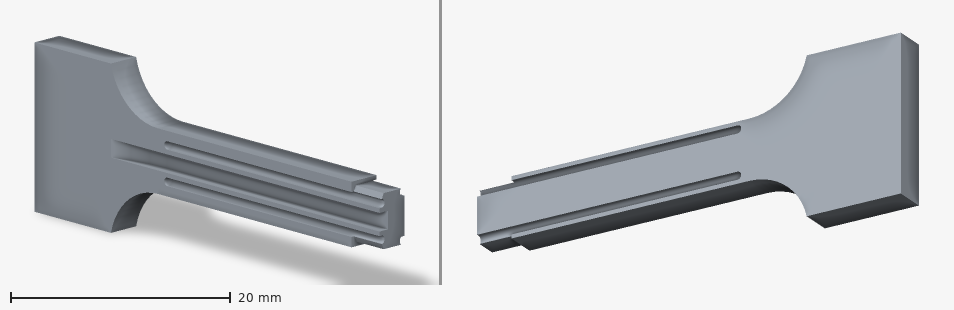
import cadquery as cq
import math

length = 45.0
thickness = 3.2
head_height = 16.0

head_length = 10.0
shank_height = 6.2
neck_length = 6.1

tip_length = 3.65
tip_height = 5.3
tip_front_bevel_depth = 0.53
tip_front_setback = 0.28

slot_height = 1.76
slot_depth = 1.08
slot_start = head_length

groove_width = 0.8
groove_depth = 0.62
groove_floor_radius = 0.34
groove_start = 16.95
groove_offset = 1.72
back_groove_offset = 2.3

front = -thickness / 2
back = thickness / 2
neck_end = head_length + neck_length
tip_start = length - tip_length


def tangent_radius(run, rise):
    """Radius of an arc that covers run and rise and ends parallel to the run."""
    return (run**2 + rise**2) / (2 * rise)


def arc_middle(run, rise):
    """Middle of that arc, measured back from its tangent end as (run, rise)."""
    radius = tangent_radius(run, rise)
    half_angle = math.asin(run / radius) / 2
    return radius * math.sin(half_angle), radius * (1 - math.cos(half_angle))


def make_body():
    """Head, curved neck and shank, up to the start of the tip."""
    head_top = head_height / 2
    shank_top = shank_height / 2
    run, rise = arc_middle(neck_length, head_top - shank_top)
    neck_middle_x = neck_end - run
    neck_middle_z = shank_top + rise
    return (
        cq.Workplane("XZ", origin=(0, back, 0))
        .moveTo(0, -head_top)
        .lineTo(head_length, -head_top)
        .threePointArc((neck_middle_x, -neck_middle_z), (neck_end, -shank_top))
        .lineTo(tip_start, -shank_top)
        .lineTo(tip_start, shank_top)
        .lineTo(neck_end, shank_top)
        .threePointArc((neck_middle_x, neck_middle_z), (head_length, head_top))
        .lineTo(0, head_top)
        .close()
        .extrude(thickness)
    )


def make_tip():
    """Reduced end of the shank, bevelled at the front."""
    tip_top = tip_height / 2
    groove_edge = groove_offset + groove_width / 2
    upper_side = [
        (front, groove_offset),
        (front + tip_front_setback, groove_edge),
        (front + tip_front_bevel_depth, tip_top),
        (back, tip_top),
    ]
    lower_side = [(y, -z) for y, z in reversed(upper_side)]
    return (
        cq.Workplane("YZ", origin=(tip_start, 0, 0))
        .polyline(upper_side + lower_side)
        .close()
        .extrude(tip_length)
    )


def make_slot():
    """Cutter for the central slot, its floor rising along an arc to the front face."""
    slot_run = neck_end - slot_start
    run, rise = arc_middle(slot_run, slot_depth)
    floor = front + slot_depth
    return (
        cq.Workplane("XY", origin=(0, 0, -slot_height / 2))
        .moveTo(slot_start, front)
        .threePointArc((neck_end - run, floor - rise), (neck_end, floor))
        .lineTo(length, floor)
        .lineTo(length, front)
        .close()
        .extrude(slot_height)
    )


def make_groove(center_z):
    """Cutter for one front groove, with a round closed end and a rounded floor."""
    radius = groove_width / 2
    closed_end = groove_start + radius
    return (
        cq.Workplane("XZ", origin=(0, front + groove_depth, center_z))
        .moveTo(length, -radius)
        .lineTo(closed_end, -radius)
        .threePointArc((groove_start, 0), (closed_end, radius))
        .lineTo(length, radius)
        .close()
        .extrude(groove_depth)
        .edges(">Y")
        .edges("not >X")
        .fillet(groove_floor_radius)
    )


body = make_body().union(make_tip()).cut(make_slot())
for side in (1, -1):
    front_groove = make_groove(side * groove_offset)
    back_groove = make_groove(side * back_groove_offset).mirror("XZ")
    body = body.cut(front_groove).cut(back_groove)

result = body